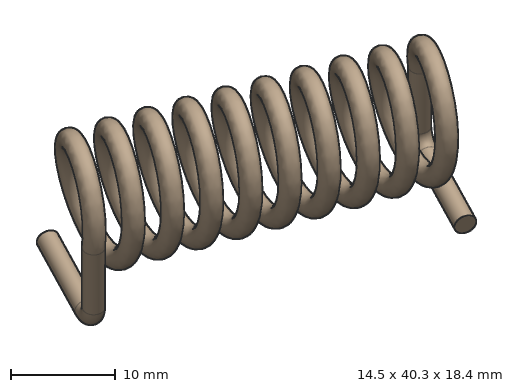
import cadquery as cq

length = 40.25
wire_diameter = 2.25
inner_diameter = 10.02
turns = 9.5
leg_drop = 10.0
bend_radius = 2.1

wire_radius = wire_diameter / 2
coil_radius = (inner_diameter + wire_diameter) / 2
coil_length = length - wire_diameter
pitch = coil_length / turns


def make_coil():
    """Left-handed coil along Y, starting at +X on the -Y end and ending at -X."""
    path = cq.Wire.makeHelix(pitch, coil_length, coil_radius, lefthand=True)
    coil = (
        cq.Workplane("XZ")
        .center(coil_radius, 0)
        .circle(wire_radius)
        .sweep(cq.Workplane(path), isFrenet=True)
    )
    return coil.rotate((0, 0, 0), (1, 0, 0), -90).translate((0, -coil_length / 2, 0))


def make_front_leg():
    """Wire dropping from the +X side of the coil, then bent toward -X."""
    path = (
        cq.Workplane("XZ", origin=(0, -coil_length / 2, 0))
        .moveTo(coil_radius, 0)
        .lineTo(coil_radius, bend_radius - leg_drop)
        .radiusArc((coil_radius - bend_radius, -leg_drop), bend_radius)
        .lineTo(-coil_radius, -leg_drop)
    )
    return (
        cq.Workplane("XY", origin=(coil_radius, -coil_length / 2, 0))
        .circle(wire_radius)
        .sweep(path)
    )


front_leg = make_front_leg()
back_leg = front_leg.rotate((0, 0, 0), (0, 0, 1), 180)

result = make_coil().union(front_leg).union(back_leg)